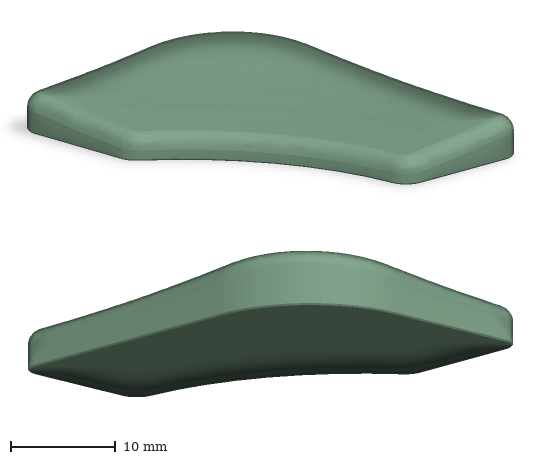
import cadquery as cq
import math

length = 39.8
width = 28.4
back_left_radius = 11.35
corner_diameter = 4.25
corner_radius = corner_diameter / 2
scoop_x = 39.2
scoop_y = -16.25
scoop_radius = 29.05

edge_rounding = 1.5
low_radius = scoop_radius + edge_rounding
low_height = 2.6
middle_radius = 43.0
middle_height = 4.0
high_radius = 52.95
high_height = 5.65

blank_height = 11.95
bottom_chamfer = 0.15


def profile_height(radius):
    """Height of the top surface: the parabola through the three profile points."""
    first_slope = (middle_height - low_height) / (middle_radius - low_radius)
    second_slope = (high_height - middle_height) / (high_radius - middle_radius)
    bend = (second_slope - first_slope) / (high_radius - low_radius)
    step = radius - low_radius
    return low_height + first_slope * step + bend * step * (radius - middle_radius)


def make_blank():
    """Straight-sided block with the scooped corner and rounded vertical edges."""
    block = cq.Workplane("XY").box(length, width, blank_height, centered=False)
    scoop = cq.Workplane("XY").center(scoop_x, scoop_y).circle(scoop_radius).extrude(blank_height)
    block = block.cut(scoop)
    back_left = cq.selectors.NearestToPointSelector((0, width, blank_height / 2))
    block = block.edges(back_left).fillet(back_left_radius)
    front_reach = math.sqrt(scoop_radius**2 - scoop_y**2)
    side_reach = math.sqrt(scoop_radius**2 - (length - scoop_x) ** 2)
    small_corners = [
        (0, 0),
        (length, width),
        (scoop_x - front_reach, 0),
        (length, scoop_y + side_reach),
    ]
    for x, y in small_corners:
        corner = cq.selectors.NearestToPointSelector((x, y, blank_height / 2))
        block = block.edges(corner).fillet(corner_radius)
    return block


def make_dished_envelope():
    """Solid of revolution about the scoop axis whose top is the rising surface."""
    inner_radius = scoop_radius - 2 * corner_radius
    outer_radius = math.hypot(scoop_x, width - scoop_y) + corner_radius
    center_radius = (inner_radius + outer_radius) / 2
    return (
        cq.Workplane("XZ")
        .moveTo(inner_radius, 0)
        .lineTo(inner_radius, profile_height(inner_radius))
        .threePointArc(
            (center_radius, profile_height(center_radius)),
            (outer_radius, profile_height(outer_radius)),
        )
        .lineTo(outer_radius, 0)
        .close()
        .revolve(360, (0, 0, 0), (0, 1, 0))
        .translate((scoop_x, scoop_y, 0))
    )


body = make_blank().intersect(make_dished_envelope())
top_face = cq.selectors.NearestToPointSelector((length / 2, width / 2, profile_height(middle_radius)))
body = body.faces(top_face).edges().fillet(edge_rounding)
result = body.faces("<Z").edges().chamfer(bottom_chamfer)